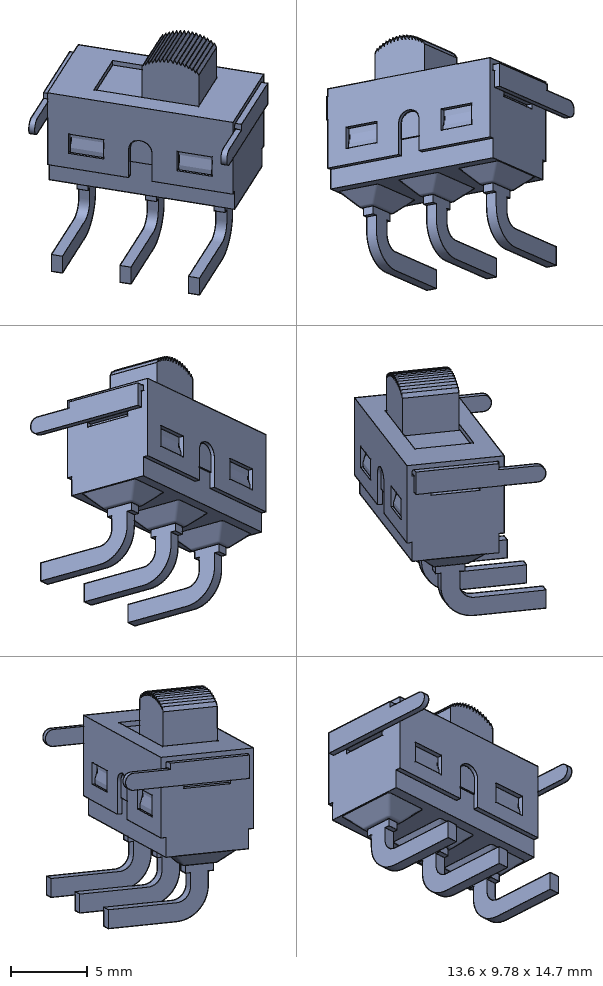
import cadquery as cq
import math


body_length = 12.7
housing_width = 6.6
housing_bottom = 1.33
housing_top = 6.75
wall = 0.35
base_width = housing_width - 2 * wall
base_face = base_width / 2
roof_underside = 6.41
cavity_corner_radius = 0.12

bracket_length = 13.57
bracket_width = 5.63
arm_thickness = 0.41
arm_bottom = 4.84
arm_top = 5.99
arm_reach = 6.0
arm_height = arm_top - arm_bottom
end_recess_depth = 0.41
end_recess_width = 3.32
end_recess_height = 0.34

opening_length = 7.16
opening_width = 3.99
actuator_length = 3.87
actuator_width = 3.85
actuator_x = 1.63
actuator_shoulder = 9.05
crest_radius = 2.92
crest_top = 9.93
tooth_count = 15
tooth_angle = math.radians(5.3)
outer_flank_slope = math.tan(math.radians(60))
inner_flank_slope = math.tan(math.radians(71))

window_x = 3.71
window_length = 2.4
window_bottom = 2.44
window_top = 3.89
latch_length = 2.26
latch_shoulder = 2.77
latch_top = 3.43
latch_height = 0.19

slot_width = 1.6
slot_spring = 3.45
key_width = 1.53
key_height = 0.12

terminal_pitch = 4.7
terminal_width = 0.76
terminal_depth = 1.28
bend_radius = 1.0
terminal_bottom = -4.74
terminal_reach = 6.48
collar_depth = 2.0
collar_bottom = -1.54
boot_length = 3.12
boot_width = 4.4
boot_height = 1.0
boot_taper = 45.0
boot_edge_radius = 0.26


def block(x_range, y_range, z_range):
    """Box between the given limits."""
    sizes = [high - low for low, high in (x_range, y_range, z_range)]
    corner = (x_range[0], y_range[0], z_range[0])
    return cq.Workplane("XY").box(*sizes, centered=False).translate(corner)


def centred_block(length, width, bottom, top, x=0):
    """Box centred on Y = 0 and on the given X."""
    return block((x - length / 2, x + length / 2), (-width / 2, width / 2), (bottom, top))


def arch(width, bottom, inner_y, outer_y):
    """Upright plate with a half-round top, between two Y planes on the -Y side."""
    half = width / 2
    return (
        cq.Workplane("XZ", origin=(0, inner_y, 0))
        .moveTo(-half, bottom)
        .lineTo(-half, slot_spring)
        .threePointArc((0, slot_spring + half), (half, slot_spring))
        .lineTo(half, bottom)
        .close()
        .extrude(inner_y - outer_y)
    )


def on_both_sides(shape, plane):
    """The shape together with its mirror image in the plane."""
    return shape.union(shape.mirror(plane))


def make_body():
    """Housing and base as one block, with the actuator opening and the cavity passages."""
    housing = centred_block(body_length, housing_width, housing_bottom, housing_top)
    base = centred_block(body_length, base_width, 0, housing_bottom)
    opening = centred_block(opening_length, opening_width, roof_underside, housing_top)
    cavity = (
        centred_block(body_length, base_width, arm_top - cavity_corner_radius, roof_underside)
        .edges("|X and >Z")
        .fillet(cavity_corner_radius)
    )
    filled = centred_block(body_length, bracket_width, arm_top, roof_underside)
    filled = filled.union(centred_block(body_length, base_width, 0, arm_top))
    return housing.union(base).cut(opening).cut(cavity.cut(filled))


def make_wall_details(body):
    """Cut the snap windows and arched slots, leaving latches and keys on the base."""
    outer_face = housing_width / 2
    openings = arch(slot_width, housing_bottom, -base_face, -outer_face)
    inserts = arch(key_width, window_bottom, -base_face, -base_face - key_height)
    for x in (-window_x, window_x):
        window_range = (x - window_length / 2, x + window_length / 2)
        window = block(window_range, (-outer_face, -base_face), (window_bottom, window_top))
        latch = (
            cq.Workplane("YZ", origin=(x - latch_length / 2, 0, 0))
            .moveTo(-base_face, window_bottom)
            .lineTo(-base_face - latch_height, window_bottom)
            .lineTo(-base_face - latch_height, latch_shoulder)
            .lineTo(-base_face, latch_top)
            .close()
            .extrude(latch_length)
        )
        openings = openings.union(window)
        inserts = inserts.union(latch)
    return body.cut(on_both_sides(openings, "XZ")).union(on_both_sides(inserts, "XZ"))


def make_end_recesses():
    """Shallow pockets in the end faces, just below the bracket arms."""
    bottom = arm_bottom - end_recess_height
    recess = centred_block(
        end_recess_depth, end_recess_width, bottom, arm_bottom, x=(end_recess_depth - body_length) / 2
    )
    return on_both_sides(recess, "YZ")


def make_bracket():
    """Strap under the roof with a round-ended mounting arm at each end."""
    strap = centred_block(bracket_length, bracket_width, arm_top, roof_underside)
    arm_centre = (arm_top + arm_bottom) / 2
    arc_start = -arm_reach + arm_height / 2
    arm = (
        cq.Workplane("YZ", origin=(-bracket_length / 2, 0, 0))
        .moveTo(bracket_width / 2, arm_bottom)
        .lineTo(bracket_width / 2, arm_top)
        .lineTo(arc_start, arm_top)
        .threePointArc((-arm_reach, arm_centre), (arc_start, arm_bottom))
        .close()
        .extrude(arm_thickness)
    )
    return strap.union(on_both_sides(arm, "YZ"))


def make_actuator():
    """Sliding knob whose domed top carries grip teeth, steeper on the flanks facing the middle."""
    crest_centre = crest_top - crest_radius
    left = actuator_x - actuator_length / 2
    right = actuator_x + actuator_length / 2
    outline = [(right, roof_underside), (left, roof_underside), (left, actuator_shoulder)]
    for index in range(tooth_count):
        angle = (index - (tooth_count - 1) / 2) * tooth_angle
        x = actuator_x + crest_radius * math.sin(angle)
        z = crest_centre + crest_radius * math.cos(angle)
        if index > 0:
            last_x, last_z = outline[-1]
            if angle > 0:
                falling, rising = outer_flank_slope, inner_flank_slope
            else:
                falling, rising = inner_flank_slope, outer_flank_slope
            root_x = (last_z - z + falling * last_x + rising * x) / (falling + rising)
            root_z = last_z - falling * (root_x - last_x)
            outline.append((root_x, root_z))
        outline.append((x, z))
    outline.append((right, actuator_shoulder))
    return (
        cq.Workplane("XZ", origin=(0, actuator_width / 2, 0))
        .polyline(outline)
        .close()
        .extrude(actuator_width)
    )


def make_terminal(x):
    """Sealing boot, collar and a leg bent towards -Y."""
    boot = (
        cq.Workplane("XY", origin=(x, 0, 0))
        .rect(boot_length, boot_width)
        .extrude(-boot_height, taper=boot_taper)
        .faces("not >Z")
        .edges("not >Z")
        .fillet(boot_edge_radius)
    )
    collar = centred_block(terminal_width, collar_depth, collar_bottom, -boot_height, x)
    half_depth = terminal_depth / 2
    outer_radius = bend_radius + terminal_depth
    bend_y = -half_depth - bend_radius
    bend_z = terminal_bottom + outer_radius
    diagonal = math.sqrt(0.5)
    leg = (
        cq.Workplane("YZ", origin=(x - terminal_width / 2, 0, 0))
        .moveTo(half_depth, collar_bottom)
        .lineTo(half_depth, bend_z)
        .threePointArc(
            (bend_y + outer_radius * diagonal, bend_z - outer_radius * diagonal),
            (bend_y, terminal_bottom),
        )
        .lineTo(-terminal_reach, terminal_bottom)
        .lineTo(-terminal_reach, terminal_bottom + terminal_depth)
        .lineTo(bend_y, terminal_bottom + terminal_depth)
        .threePointArc(
            (bend_y + bend_radius * diagonal, bend_z - bend_radius * diagonal),
            (-half_depth, bend_z),
        )
        .lineTo(-half_depth, collar_bottom)
        .close()
        .extrude(terminal_width)
    )
    return boot.union(collar).union(leg)


result = make_wall_details(make_body()).cut(make_end_recesses())
result = result.union(make_bracket()).union(make_actuator())
for terminal_x in (-terminal_pitch, 0, terminal_pitch):
    result = result.union(make_terminal(terminal_x))